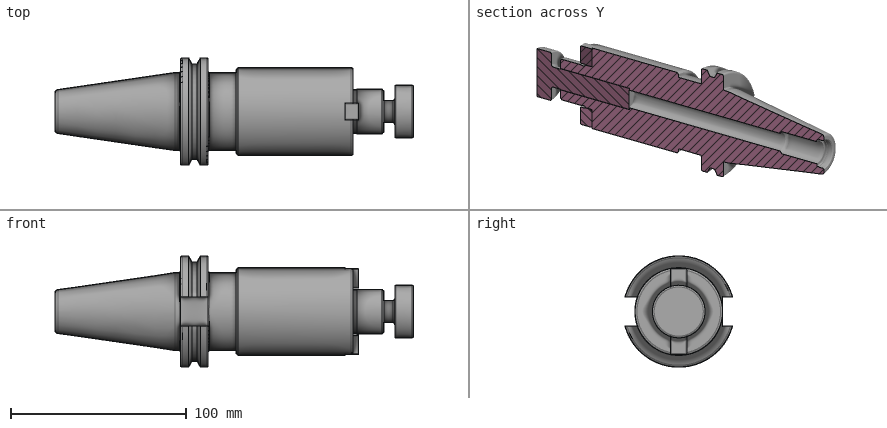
import cadquery as cq
import math


gauge_dia = 44.45
taper_length = 68.25
taper_start = -taper_length
taper_ratio = 7 / 24
small_end_dia = gauge_dia - taper_length * taper_ratio
small_end_round = 1.9
neck_root_round = 0.6

flange_dia = 63.5
flange_front = 3.18
flange_back = 19.05
flange_length = flange_back - flange_front
flange_edge_round = 1.1
groove_centre = 11.22
groove_bottom_dia = 56.8
groove_bottom_width = 3.0
groove_wall_angle = 30

drive_slot_width = 16.3
shallow_slot_floor = 25.0
deep_slot_floor = 22.6
slot_edge_round = 0.4

body_dia = 50.0
body_back = 34.925
body_face = 101.6
body_back_chamfer = 1.2
body_face_round = 1.2
spigot_dia = 25.4
spigot_end = body_face + 17.46
spigot_edge_chamfer = 1.0
undercut_dia = 24.9
undercut_length = 2.2

mouth_dia = 18.0
pilot_dia = 16.8
pilot_step_depth = 3.6
inner_pilot_dia = 16.3
pilot_depth = 5.0
thread_dia = 13.39
thread_depth = 30.0
drill_dia = 10.6

key_width = 9.525
key_length = 7.9
key_projection = 3.2
key_bottom = 13.4
key_top = 24.4
key_edge_round = 0.5
key_back = body_face + key_projection - key_length
key_angles = (0, 180)

screw_dia = 12.7
screw_tip = 70.0
screw_end = 136.0
head_dia = 30.0
head_length = 10.65
head_back = screw_end - head_length
head_back_round = 0.8
head_end_round = 1.0
screw_neck_round = 1.2


def turned(points):
    """Solid of revolution about the X axis from (x, radius) points."""
    return cq.Workplane("XY").polyline(points).close().revolve(360, (0, 0, 0), (1, 0, 0))


def rod(x_start, x_end, diameter):
    """Plain cylinder along the X axis."""
    return cq.Workplane("YZ", origin=(x_start, 0, 0)).circle(diameter / 2).extrude(x_end - x_start)


def block(x_start, length, width, z_bottom, z_top):
    """Box centred on Y."""
    box = cq.Workplane("XY").box(length, width, z_top - z_bottom, centered=(False, True, False))
    return box.translate((x_start, 0, z_bottom))


def about_axis(part, angle):
    return part.rotate((0, 0, 0), (1, 0, 0), angle)


def within(x_start, x_end, diameter):
    """Selector for whatever lies wholly between two X stations and within a diameter."""
    margin = 0.05
    reach = diameter / 2 + margin
    return cq.selectors.BoxSelector(
        (x_start - margin, -reach, -reach), (x_end + margin, reach, reach), boundingbox=True
    )


def make_flange():
    flange = rod(flange_front, flange_back, flange_dia).edges().fillet(flange_edge_round)
    for angle, floor in ((-90, shallow_slot_floor), (90, deep_slot_floor)):
        slot = block(flange_front, flange_length, drive_slot_width, floor, flange_dia)
        flange = flange.cut(about_axis(slot, angle))
    slot_walls = flange.faces("|Z")
    floor_edges = flange.faces("|Y").edges("|X").vals()
    open_edges = [
        edge for edge in slot_walls.edges().vals()
        if not any(edge.isSame(floor_edge) for floor_edge in floor_edges)
    ]
    flange = flange.newObject(open_edges).fillet(slot_edge_round)
    groove_depth = (flange_dia - groove_bottom_dia) / 2
    half_bottom = groove_bottom_width / 2
    half_top = half_bottom + groove_depth * math.tan(math.radians(groove_wall_angle))
    groove = turned([
        (groove_centre - half_bottom, groove_bottom_dia / 2),
        (groove_centre - half_top, flange_dia / 2),
        (groove_centre + half_top, flange_dia / 2),
        (groove_centre + half_bottom, groove_bottom_dia / 2),
    ])
    return flange.cut(groove)


def make_bore():
    mouth_depth = (mouth_dia - pilot_dia) / 2
    cone_length = (thread_dia - drill_dia) / 2
    return turned([
        (taper_start, 0),
        (taper_start, mouth_dia / 2),
        (taper_start + mouth_depth, pilot_dia / 2),
        (taper_start + pilot_step_depth, pilot_dia / 2),
        (taper_start + pilot_step_depth, inner_pilot_dia / 2),
        (taper_start + pilot_depth, inner_pilot_dia / 2),
        (taper_start + pilot_depth, thread_dia / 2),
        (taper_start + thread_depth, thread_dia / 2),
        (taper_start + thread_depth + cone_length, drill_dia / 2),
        (screw_tip, drill_dia / 2),
        (screw_tip, 0),
    ])


def make_holder():
    taper = turned([
        (taper_start, 0),
        (taper_start, small_end_dia / 2),
        (0, gauge_dia / 2),
        (0, 0),
    ])
    taper = taper.faces("<X").edges().fillet(small_end_round)
    neck = rod(0, body_back, gauge_dia)
    body = rod(body_back, body_face, body_dia)
    body = body.faces("<X").edges().chamfer(body_back_chamfer)
    body = body.faces(">X").edges().fillet(body_face_round)
    undercut = rod(body_face, body_face + undercut_length, undercut_dia)
    spigot = rod(body_face + undercut_length, spigot_end, spigot_dia)
    spigot = spigot.faces(">X").edges().chamfer(spigot_edge_chamfer)
    holder = taper.union(neck).union(make_flange()).union(body).union(undercut).union(spigot)
    for x in (flange_front, flange_back):
        holder = holder.edges(within(x, x, gauge_dia)).fillet(neck_root_round)
    key_seat = block(key_back, body_face - key_back, key_width, key_bottom, body_dia)
    for angle in key_angles:
        holder = holder.cut(about_axis(key_seat, angle))
    return holder.cut(make_bore()).cut(rod(screw_tip, spigot_end, screw_dia))


def make_screw():
    shank = rod(screw_tip, head_back, screw_dia)
    head = rod(head_back, screw_end, head_dia)
    head = head.faces("<X").edges().fillet(head_back_round)
    head = head.faces(">X").edges().fillet(head_end_round)
    screw = shank.union(head)
    return screw.edges(within(head_back, head_back, screw_dia)).fillet(screw_neck_round)


def make_key(angle):
    key = block(key_back, key_length, key_width, key_bottom, key_top)
    return about_axis(key.edges().fillet(key_edge_round), angle)


holder = make_holder()
screw = make_screw()
keys = [make_key(angle) for angle in key_angles]

result = cq.Compound.makeCompound([holder.val(), screw.val(), *[key.val() for key in keys]])